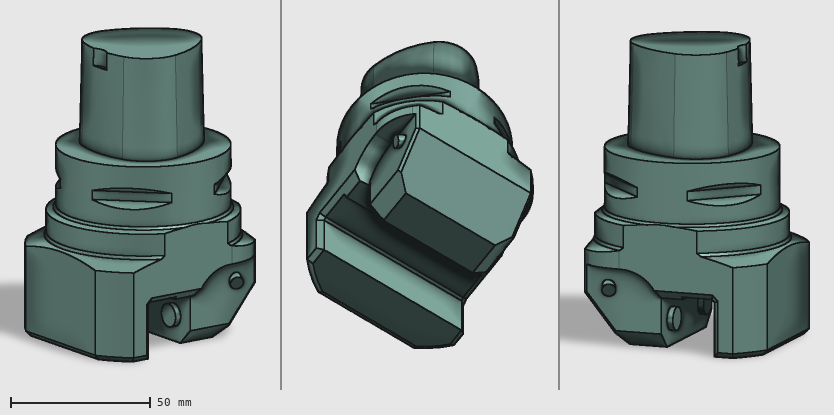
import cadquery as cq
import math

total_height = 108.0
total_width = 64.0
total_depth = 69.0
half_width = total_width / 2
back_reach = half_width
front_reach = total_depth - back_reach
body_radius = 85.0 / 2
back_corner_radius = 20.0
back_corner_start = 15.9
back_bevel_depth = 1.9
edge_chamfer = 2.0

body_edge_z = 33.6
cone_top_z = 36.7
cone_top_radius = 35.6
collar_bottom_z = 37.9
collar_radius = 35.0
collar_top_z = 46.0
neck_z = 46.9
neck_radius = 32.4
flange_bottom_z = 47.8
flange_radius = 63.0 / 2
flange_top_z = 70.1

lobe_reach = 22.8
flat_reach = 19.4
lobe_radius = 13.7
shank_spread = 0.92
notch_radius = 12.5 / 2
notch_depth = 6.4
notch_bottom_y = -17.9

groove_z = 58.1
groove_floor_distance = 28.0
groove_floor_height = 3.3
groove_mouth_height = 7.9
groove_count = 4

slot_back_y = 2.2
slot_front_y = -20.1
slot_ceiling_z = 21.0
slot_corner_bevel = 1.0
seat_ceiling_z = 19.9
seat_front_y = -7.5

clamp_half_width = 25.3
recess_top_z = 29.9
recess_arc_y = 15.3
recess_arc_radius = 15.7
recess_draft = 5.0
slope_top_z = 19.0
slope_bottom_y = 16.3
slope_chamfer = 1.1
clamp_bottom_chamfer = 5.8

screw_radius = 8.5 / 2
screw_x = 15.3
screw_z = 9.8
screw_length = 2.3
pin_radius = 5.0 / 2
pin_y = 21.5
pin_z = 21.0
pin_length = 2.2
pin_tilt = 0.8
embed = 1.1
clear = 5.4


def turned_blank():
    profile = [
        (0, 0),
        (body_radius, 0),
        (body_radius, body_edge_z),
        (cone_top_radius, cone_top_z),
        (collar_radius, collar_bottom_z),
        (collar_radius, collar_top_z),
        (neck_radius, neck_z),
        (flange_radius, flange_bottom_z),
        (flange_radius, flange_top_z),
        (0, flange_top_z),
    ]
    return cq.Workplane("XZ").polyline(profile).close().revolve(360, (0, 0), (0, 1))


def body_prism():
    front_x = math.sqrt(body_radius**2 - front_reach**2)
    front_y = math.sqrt(body_radius**2 - half_width**2)
    diagonal = body_radius / math.sqrt(2)
    arc_x = half_width - back_corner_radius
    bevel_y = back_reach - back_bevel_depth
    bevel_angle = math.asin((bevel_y - back_corner_start) / back_corner_radius)
    bevel_x = arc_x + back_corner_radius * math.cos(bevel_angle)
    mid_x = arc_x + back_corner_radius * math.cos(bevel_angle / 2)
    mid_y = back_corner_start + back_corner_radius * math.sin(bevel_angle / 2)
    back_x = bevel_x - back_bevel_depth
    outline = (
        cq.Workplane("XY")
        .moveTo(-front_x, -front_reach)
        .lineTo(front_x, -front_reach)
        .threePointArc((diagonal, -diagonal), (half_width, -front_y))
        .lineTo(half_width, back_corner_start)
        .threePointArc((mid_x, mid_y), (bevel_x, bevel_y))
        .lineTo(back_x, back_reach)
        .lineTo(-back_x, back_reach)
        .lineTo(-bevel_x, bevel_y)
        .threePointArc((-mid_x, mid_y), (-half_width, back_corner_start))
        .lineTo(-half_width, -front_y)
        .threePointArc((-diagonal, -diagonal), (-front_x, -front_reach))
        .close()
    )
    return outline.extrude(flange_top_z).faces("<Z").chamfer(edge_chamfer)


def polar(radius, angle):
    return radius * math.cos(math.radians(angle)), radius * math.sin(math.radians(angle))


def shank_outline(plane, growth):
    """Three lobe arcs and three flatter arcs, all tangent to each other."""
    lobe_centre = lobe_reach - lobe_radius
    flat_angle = 60
    gap = flat_reach - lobe_centre * math.cos(math.radians(flat_angle))
    side = lobe_centre * math.sin(math.radians(flat_angle))
    flat_radius = (side**2 + gap**2 - lobe_radius**2) / (2 * (gap - lobe_radius))
    tangent_angle = math.degrees(math.asin(side / (flat_radius - lobe_radius)))
    half_lobe = flat_angle - tangent_angle

    def lobe_point(axis_angle, offset):
        cx, cy = polar(lobe_centre, axis_angle)
        dx, dy = polar(lobe_radius + growth, axis_angle + offset)
        return cx + dx, cy + dy

    outline = plane.moveTo(*lobe_point(90, -half_lobe))
    for axis_angle in (90, 210, 330):
        flat_middle = polar(flat_reach + growth, axis_angle + flat_angle)
        next_lobe_start = lobe_point(axis_angle + 2 * flat_angle, -half_lobe)
        outline = outline.threePointArc(lobe_point(axis_angle, 0), lobe_point(axis_angle, half_lobe))
        outline = outline.threePointArc(flat_middle, next_lobe_start)
    return outline.close()


def shank():
    length = total_height - flange_top_z
    base = shank_outline(cq.Workplane("XY", origin=(0, 0, flange_top_z)), shank_spread)
    taper = math.degrees(math.atan(shank_spread / length))
    solid = base.extrude(length, taper=taper)
    notch = (
        cq.Workplane("XY", origin=(0, notch_bottom_y - notch_radius, total_height - notch_depth))
        .circle(notch_radius)
        .extrude(notch_depth)
    )
    return solid.cut(notch)


def gripper_grooves():
    floor = groove_floor_height / 2
    mouth = groove_mouth_height / 2
    slope = (mouth - floor) / (flange_radius - groove_floor_distance)
    outer = flange_radius + clear
    outer_half = mouth + slope * clear
    groove = (
        cq.Workplane("XZ")
        .polyline([
            (groove_floor_distance, groove_z - floor),
            (outer, groove_z - outer_half),
            (outer, groove_z + outer_half),
            (groove_floor_distance, groove_z + floor),
        ])
        .close()
        .extrude(flange_radius, both=True)
    )
    step = 360 / groove_count
    grooves = cq.Workplane("XY")
    for index in range(groove_count):
        grooves = grooves.add(groove.rotate((0, 0, 0), (0, 0, 1), step * (index + 0.5)))
    return grooves.combine()


def slot_section(x, grow):
    """Slot outline on a plane of constant X, enlarged on its front and top by grow."""
    front = slot_front_y - grow
    top = slot_ceiling_z + grow
    corner = slot_corner_bevel + grow * (2 - math.sqrt(2))
    return (
        cq.Workplane("YZ", origin=(x, 0, 0))
        .polyline([
            (slot_back_y, -clear),
            (slot_back_y, top),
            (front + corner, top),
            (front, top - corner),
            (front, -clear),
        ])
        .close()
    )


def tool_slot():
    slot = slot_section(-half_width - clear, 0).extrude(2 * (half_width + clear))
    step_height = slot_ceiling_z - seat_ceiling_z
    seat_length = slot_back_y - seat_front_y
    step = (
        cq.Workplane("XY", origin=(0, seat_front_y, seat_ceiling_z))
        .box(2 * (half_width + clear), seat_length, step_height, centered=(True, False, False))
    )
    slot = slot.cut(step)

    opening = slot_section(-half_width, edge_chamfer).val()
    inner = slot_section(-half_width + edge_chamfer, 0).val()
    bevel = cq.Workplane(cq.Solid.makeLoft([opening, inner], True))
    seat_bevel = edge_chamfer + step_height
    seat = (
        cq.Workplane("XZ", origin=(0, slot_back_y, 0))
        .polyline([
            (-half_width, seat_ceiling_z),
            (-half_width, seat_ceiling_z + seat_bevel),
            (-half_width + seat_bevel, seat_ceiling_z),
        ])
        .close()
        .extrude(seat_length)
    )
    bevel = bevel.cut(step).union(seat)
    return slot.union(bevel).union(bevel.mirror("YZ"))


def clamp_recess():
    """Drafted pocket in the left side face; the clamp face is its floor."""
    arc_z = recess_top_z - recess_arc_radius
    start_y = recess_arc_y - recess_arc_radius
    dy, dz = polar(recess_arc_radius, 135)
    return (
        cq.Workplane("YZ", origin=(-half_width, 0, 0))
        .moveTo(start_y, -clear)
        .lineTo(start_y, arc_z)
        .threePointArc((recess_arc_y + dy, arc_z + dz), (recess_arc_y, recess_top_z))
        .lineTo(back_reach + clear, recess_top_z)
        .lineTo(back_reach + clear, -clear)
        .close()
        .extrude(half_width - clamp_half_width, taper=recess_draft)
    )


def clamp_slope():
    """Wedge below the sloped back of the clamp block."""
    run = back_reach - slope_bottom_y
    overrun = clear / run
    drop = slope_top_z * overrun
    return (
        cq.Workplane("YZ", origin=(-half_width - clear, 0, 0))
        .polyline([
            (slope_bottom_y - clear, -drop),
            (back_reach + clear, slope_top_z + drop),
            (back_reach + clear, -drop),
        ])
        .close()
        .extrude(2 * (half_width + clear))
    )


def slope_edge_bevel():
    """Left 45 degree bevel between the clamp face and the sloped back."""
    run = back_reach - slope_bottom_y
    length = math.hypot(run, slope_top_z)
    along = cq.Vector(0, run / length, slope_top_z / length)
    plane = cq.Plane(
        origin=(-clamp_half_width, slope_bottom_y, 0), xDir=(1, 0, 0), normal=along
    )
    return (
        cq.Workplane(plane)
        .polyline([
            (-clear, -slope_chamfer - clear),
            (slope_chamfer + clear, clear),
            (-clear, clear),
        ])
        .close()
        .extrude(length)
    )


def clamp_foot_bevel():
    return (
        cq.Workplane("XZ", origin=(0, slot_back_y, 0))
        .polyline([
            (-clamp_half_width - clear, clamp_bottom_chamfer + clear),
            (-clamp_half_width + clamp_bottom_chamfer + clear, -clear),
            (-clamp_half_width - clear, -clear),
        ])
        .close()
        .extrude(-back_reach)
    )


def screw():
    return (
        cq.Workplane("XZ", origin=(-screw_x, slot_back_y + embed, screw_z))
        .circle(screw_radius)
        .extrude(screw_length + embed)
    )


def pin():
    tip = cq.Vector(-clamp_half_width - pin_length, pin_y, pin_z)
    inward = cq.Vector(pin_length, pin_tilt, pin_tilt)
    plane = cq.Plane(origin=tip.toTuple(), xDir=(0, 1, -1), normal=inward.toTuple())
    return cq.Workplane(plane).circle(pin_radius).extrude(inward.Length + 2 * embed)


body = turned_blank().intersect(body_prism())
body = body.cut(gripper_grooves()).cut(tool_slot()).cut(clamp_slope())
for cutter in (clamp_recess(), clamp_foot_bevel(), slope_edge_bevel()):
    body = body.cut(cutter).cut(cutter.mirror("YZ"))
body = body.union(shank())
for fitting in (screw(), pin()):
    body = body.union(fitting).union(fitting.mirror("YZ"))

result = body